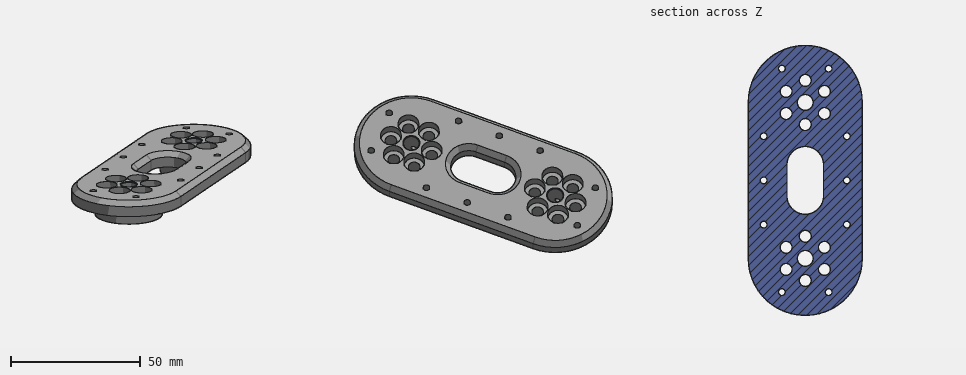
import cadquery as cq
import math

plate_width = 44.0
plate_length = 104.0
plate_thickness = 6.0
rim_chamfer = 2.0
end_offset = (plate_length - plate_width) / 2

boss_diameter = 26.0
boss_height = 6.0
total_height = plate_thickness + boss_height
boss_centers = [(0, -end_offset), (0, end_offset)]

center_hole_diameter = 6.0
center_hole_chamfer = 0.3
ring_hole_count = 6
ring_radius = 8.5
ring_hole_diameter = 4.5
counterbore_diameter = 8.0
counterbore_depth = 4.0

cross_hole_diameter = 2.5
cross_hole_z = -boss_height / 2

slot_width = 14.0
slot_length = 26.0

mount_hole_diameter = 2.5
side_hole_x = 16.0
side_hole_pitch = 17.0
end_hole_x = 9.0
end_hole_y = 43.0


def make_plate():
    """Stadium plate resting on Z = 0, slotted through, with both top rims chamfered."""
    slot = cq.Workplane("XY").slot2D(slot_length, slot_width, 90).extrude(plate_thickness)
    plate = cq.Workplane("XY").slot2D(plate_length, plate_width, 90).extrude(plate_thickness)
    return plate.cut(slot).faces(">Z").chamfer(rim_chamfer)


def add_bosses(body):
    bosses = (
        cq.Workplane("XY")
        .pushPoints(boss_centers)
        .circle(boss_diameter / 2)
        .extrude(-boss_height)
    )
    return body.union(bosses)


def drill_down(points, diameter, depth):
    """Vertical drills entering the top face at the given points."""
    return (
        cq.Workplane("XY")
        .workplane(offset=plate_thickness)
        .pushPoints(points)
        .circle(diameter / 2)
        .extrude(-depth)
    )


def ring_points(center):
    """Hole centres spaced evenly around a boss axis, the first one on its +Y side."""
    center_x, center_y = center
    angles = [math.pi / 2 + 2 * math.pi * i / ring_hole_count for i in range(ring_hole_count)]
    return [
        (center_x + ring_radius * math.cos(angle), center_y + ring_radius * math.sin(angle))
        for angle in angles
    ]


def center_hole_countersink(center):
    """45 degree cone that breaks the top edge of a centre hole."""
    mouth_radius = center_hole_diameter / 2 + center_hole_chamfer
    return (
        cq.Workplane("XY")
        .workplane(offset=plate_thickness)
        .center(*center)
        .circle(mouth_radius)
        .extrude(-center_hole_chamfer, taper=45)
    )


def cut_hole_clusters(body):
    for center in boss_centers:
        ring = ring_points(center)
        center_drill = drill_down([center], center_hole_diameter, total_height)
        body = body.cut(center_drill).cut(center_hole_countersink(center))
        body = body.cut(drill_down(ring, ring_hole_diameter, total_height))
        body = body.cut(drill_down(ring, counterbore_diameter, counterbore_depth))
    return body


def cut_cross_holes(body):
    drills = (
        cq.Workplane("YZ")
        .pushPoints([(y, cross_hole_z) for _, y in boss_centers])
        .circle(cross_hole_diameter / 2)
        .extrude(boss_diameter / 2, both=True)
    )
    return body.cut(drills)


def cut_mount_holes(body):
    points = []
    for side in (-1, 1):
        points += [(side * side_hole_x, row * side_hole_pitch) for row in (-1, 0, 1)]
        points += [(side * end_hole_x, end * end_hole_y) for end in (-1, 1)]
    return body.cut(drill_down(points, mount_hole_diameter, plate_thickness))


result = make_plate()
result = add_bosses(result)
result = cut_hole_clusters(result)
result = cut_cross_holes(result)
result = cut_mount_holes(result)